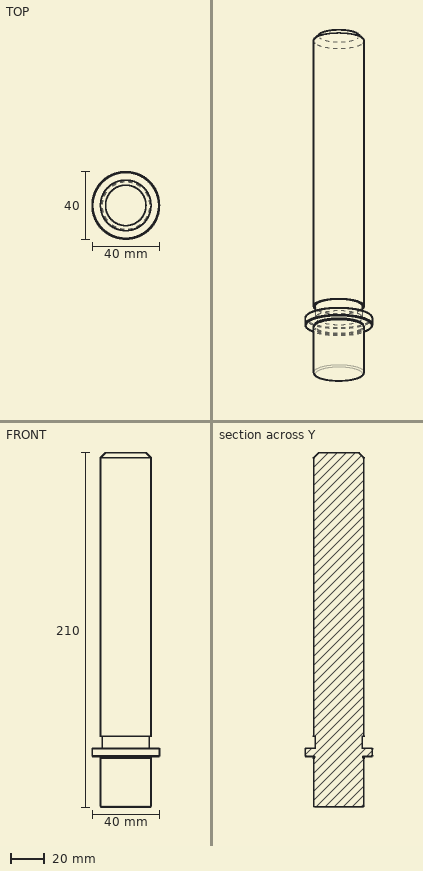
import cadquery as cq

total_length = 210.0
base_length = 30.0
flange_thickness = 5.0
neck_length = 7.0

pin_diameter = 30.0
flange_diameter = 40.0
neck_diameter = 28.0

tip_chamfer = 3.0
base_fillet = 1.0
flange_chamfer = 0.5

groove_depth = 0.5
groove_band_width = 0.5

groove_diameter = pin_diameter - 2 * groove_depth
groove_band_bottom = base_length - groove_band_width
neck_bottom = base_length + flange_thickness
pin_bottom = neck_bottom + neck_length


def cylinder(diameter, bottom, top):
    """Solid cylinder on the Z axis between two heights."""
    return cq.Workplane("XY").workplane(offset=bottom).circle(diameter / 2).extrude(top - bottom)


def make_base():
    """Lower spigot with a rounded end and a relief groove below the flange."""
    body = cylinder(pin_diameter, 0, groove_band_bottom)
    body = body.faces("<Z").edges().fillet(base_fillet)
    body = body.faces(">Z").edges().chamfer(groove_depth)
    groove_band = cylinder(groove_diameter, groove_band_bottom, base_length)
    return body.union(groove_band)


def make_flange():
    """Collar with both outer edges chamfered."""
    collar = cylinder(flange_diameter, base_length, neck_bottom)
    return collar.faces("|Z").edges().chamfer(flange_chamfer)


def make_shaft():
    """Relieved neck above the flange and the long guide pin with a chamfered tip."""
    neck = cylinder(neck_diameter, neck_bottom, pin_bottom)
    pin = cylinder(pin_diameter, pin_bottom, total_length)
    pin = pin.faces(">Z").edges().chamfer(tip_chamfer)
    return neck.union(pin)


result = make_base().union(make_flange()).union(make_shaft())